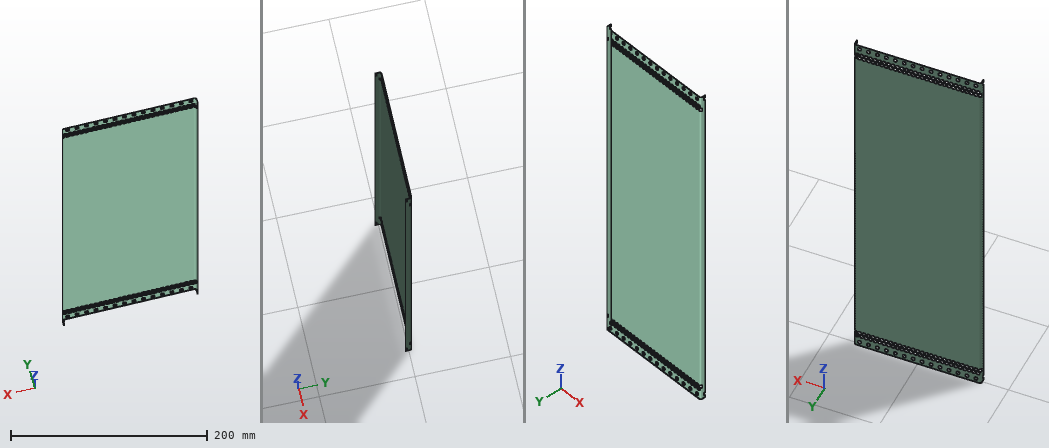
import cadquery as cq
import math

WIDTH = 142.0
DEPTH = 7.0
HEIGHT = 431.5

THICKNESS = 0.95
BEND_RADIUS = 2.5
INNER_RADIUS = BEND_RADIUS - THICKNESS

HOLE_DIAMETER = 3.95
ROW_SPAN = 130.0
FINE_SPACES = 26
FINE_PITCH = ROW_SPAN / FINE_SPACES
COARSE_PITCH = 2 * FINE_PITCH
COARSE_COUNT = FINE_SPACES // 2 + 1
OUTER_FINE_COUNT = FINE_SPACES + 2
INNER_FINE_COUNT = FINE_SPACES + 3

GRID_ROW_STEP = FINE_PITCH * math.sqrt(3) / 2
COARSE_ROW_INSET = FINE_PITCH
OUTER_FINE_ROW_INSET = COARSE_ROW_INSET + 2 * GRID_ROW_STEP
INNER_FINE_ROW_INSET = COARSE_ROW_INSET + 3 * GRID_ROW_STEP

NOTCH_CENTRE_INSET = 0.2

BACK_Y = DEPTH / 2
FRONT_Y = -DEPTH / 2


def folded_panel():
    """Flat web at +Y with a flange folded towards -Y along each side."""
    outer = (
        cq.Workplane("XY")
        .box(WIDTH, DEPTH, HEIGHT)
        .edges("|Z and >Y")
        .fillet(BEND_RADIUS)
    )
    inner = (
        cq.Workplane("XY")
        .box(WIDTH - 2 * THICKNESS, DEPTH, HEIGHT)
        .edges("|Z and >Y")
        .fillet(INNER_RADIUS)
        .translate((0, -THICKNESS, 0))
    )
    return outer.cut(inner)


def hole_row(count, pitch, z):
    """Cutters for one row of holes, as deep as the folds so the end holes pass through them."""
    first_x = -pitch * (count - 1) / 2
    centres = [(first_x + i * pitch, z) for i in range(count)]
    return (
        cq.Workplane("XZ", origin=(0, BACK_Y, 0))
        .pushPoints(centres)
        .circle(HOLE_DIAMETER / 2)
        .extrude(BEND_RADIUS)
    )


def flange_notch(z):
    """Cutter for the notches in both flange edges at one height."""
    return (
        cq.Workplane("YZ")
        .center(FRONT_Y + NOTCH_CENTRE_INSET, z)
        .circle(HOLE_DIAMETER / 2)
        .extrude(WIDTH / 2, both=True)
    )


result = folded_panel()

for end in (-1, 1):
    coarse_z = end * (HEIGHT / 2 - COARSE_ROW_INSET)
    outer_fine_z = end * (HEIGHT / 2 - OUTER_FINE_ROW_INSET)
    inner_fine_z = end * (HEIGHT / 2 - INNER_FINE_ROW_INSET)
    result = result.cut(hole_row(COARSE_COUNT, COARSE_PITCH, coarse_z))
    result = result.cut(hole_row(OUTER_FINE_COUNT, FINE_PITCH, outer_fine_z))
    result = result.cut(hole_row(INNER_FINE_COUNT, FINE_PITCH, inner_fine_z))
    result = result.cut(flange_notch(coarse_z))

result = cq.Workplane(result.solids().val())